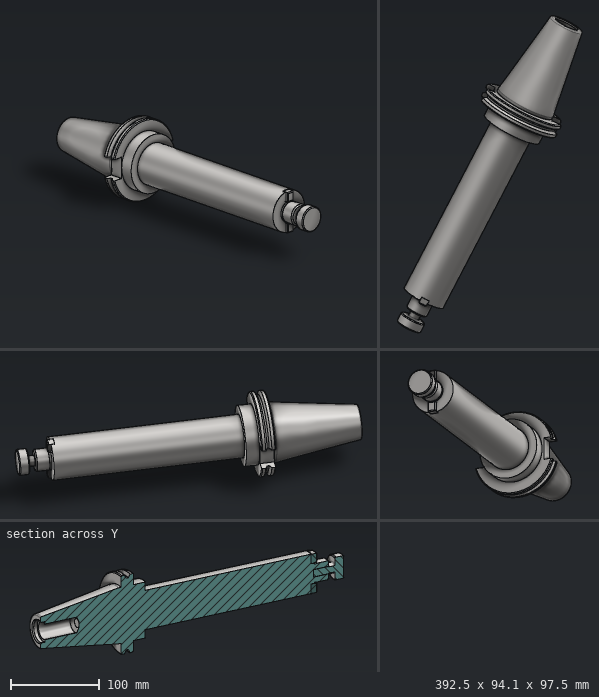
import cadquery as cq
import math


GAUGE_D = 70.0
TAPER_L = 101.3
TAPER_RATIO = 7 / 24
TAPER_TIP_D = GAUGE_D - TAPER_L * TAPER_RATIO
TIP_FILLET = 1.5

FLANGE_D = 97.5
FLANGE_X = 104.5
FLANGE_W = 16.5
FLANGE_CHAMFER = 1.0
COLLAR_END_X = 136.2

GROOVE_W = 7.0
GROOVE_FLOOR_W = 2.5
GROOVE_HALF_ANGLE = 30
GROOVE_DEPTH = (GROOVE_W - GROOVE_FLOOR_W) / 2 / math.tan(math.radians(GROOVE_HALF_ANGLE))

SLOT_W = 25.5
SLOT_FLOOR_FRONT = GAUGE_D / 2
SLOT_FLOOR_BACK = 37.3

SHANK_D = 50.0
SHANK_END_X = 355.0
SPIGOT_D = 25.5
SPIGOT_END_X = 373.5
SPIGOT_CHAMFER = 1.5
UNDERCUT_D = 24.7
UNDERCUT_W = 2.7

MOUTH_D = 28.3
COUNTERBORE_D = 26.5
COUNTERBORE_DEPTH = 6.3
MOUTH_HALF_ANGLE = 30
BORE_D = 21.0
BORE_DEPTH = 47
BORE_FLOOR_D = 10.5
BORE_CONE_HALF_ANGLE = 60

KEY_W = 9.5
KEY_L = 8
KEY_PROTRUSION = 3.5
KEY_CHAMFER = 1.0
KEY_X = SHANK_END_X + KEY_PROTRUSION - KEY_L
KEY_BOTTOM_Z = SPIGOT_D / 2
KEY_TOP_Z = 24.5

SCREW_HEAD_D = 30.0
SCREW_HEAD_L = 11.8
SCREW_HEAD_CHAMFER = 1.0
SCREW_NECK_FILLET = 0.8
SCREW_SHANK_D = 12.5
SCREW_INSERTION = 19.5
SCREW_END_X = 392.5
SCREW_TIP_X = SPIGOT_END_X - SCREW_INSERTION
SCREW_HEAD_X = SCREW_END_X - SCREW_HEAD_L


def cylinder(start_x, end_x, diameter):
    """Cylinder on the X axis."""
    return cq.Workplane("YZ", origin=(start_x, 0, 0)).circle(diameter / 2).extrude(end_x - start_x)


def turned(points):
    """Solid of revolution about the X axis from (x, radius) points."""
    return cq.Workplane("XY").polyline(points).close().revolve(360, (0, 0, 0), (1, 0, 0))


def make_taper():
    taper = turned([(0, 0), (0, TAPER_TIP_D / 2), (TAPER_L, GAUGE_D / 2), (TAPER_L, 0)])
    return taper.faces("<X").edges().fillet(TIP_FILLET)


def make_groove_ring():
    middle_x = FLANGE_X + FLANGE_W / 2
    rim_r = FLANGE_D / 2
    floor_r = rim_r - GROOVE_DEPTH
    return turned([
        (middle_x - GROOVE_W / 2, rim_r),
        (middle_x - GROOVE_FLOOR_W / 2, floor_r),
        (middle_x + GROOVE_FLOOR_W / 2, floor_r),
        (middle_x + GROOVE_W / 2, rim_r),
    ])


def make_flange():
    flange = cylinder(FLANGE_X, FLANGE_X + FLANGE_W, FLANGE_D).edges().chamfer(FLANGE_CHAMFER)
    flange = flange.cut(make_groove_ring())
    for side, floor in ((-1, SLOT_FLOOR_FRONT), (1, SLOT_FLOOR_BACK)):
        slot = cq.Workplane("XY").box(FLANGE_W, FLANGE_D, SLOT_W)
        slot_y = side * (floor + FLANGE_D / 2)
        flange = flange.cut(slot.translate((FLANGE_X + FLANGE_W / 2, slot_y, 0)))
    return flange


def make_spigot():
    spigot = cylinder(SHANK_END_X, SPIGOT_END_X, SPIGOT_D).faces(">X").chamfer(SPIGOT_CHAMFER)
    undercut_end_x = SHANK_END_X + UNDERCUT_W
    undercut_core = cylinder(SHANK_END_X, undercut_end_x, UNDERCUT_D)
    undercut = cylinder(SHANK_END_X, undercut_end_x, SPIGOT_D).cut(undercut_core)
    return spigot.cut(undercut)


def make_bore():
    mouth_depth = (MOUTH_D - COUNTERBORE_D) / 2 / math.tan(math.radians(MOUTH_HALF_ANGLE))
    cone_l = (BORE_D - BORE_FLOOR_D) / 2 / math.tan(math.radians(BORE_CONE_HALF_ANGLE))
    return turned([
        (0, 0),
        (0, MOUTH_D / 2),
        (mouth_depth, COUNTERBORE_D / 2),
        (COUNTERBORE_DEPTH, COUNTERBORE_D / 2),
        (COUNTERBORE_DEPTH, BORE_D / 2),
        (BORE_DEPTH, BORE_D / 2),
        (BORE_DEPTH + cone_l, BORE_FLOOR_D / 2),
        (BORE_DEPTH + cone_l, 0),
    ])


def make_key(side):
    """Drive key set into the shank end at the top (side = 1) or the bottom (side = -1)."""
    middle_z = side * (KEY_TOP_Z + KEY_BOTTOM_Z) / 2
    key = cq.Workplane("XY").box(KEY_L, KEY_W, KEY_TOP_Z - KEY_BOTTOM_Z)
    key = key.faces(">X").chamfer(KEY_CHAMFER)
    return key.translate((KEY_X + KEY_L / 2, 0, middle_z))


def make_key_slot(side):
    """Slot for a drive key, open at the shank end and outward."""
    slot_depth = SHANK_END_X - KEY_X
    slot_h = SHANK_D / 2 - KEY_BOTTOM_Z
    slot = cq.Workplane("XY").box(slot_depth, KEY_W, slot_h)
    return slot.translate((KEY_X + slot_depth / 2, 0, side * (KEY_BOTTOM_Z + slot_h / 2)))


def make_arbor():
    arbor = make_taper().union(cylinder(TAPER_L, COLLAR_END_X, GAUGE_D))
    arbor = arbor.union(make_flange())
    arbor = arbor.union(cylinder(COLLAR_END_X, SHANK_END_X, SHANK_D))
    arbor = arbor.union(make_spigot())
    arbor = arbor.cut(make_bore())
    for side in (1, -1):
        arbor = arbor.cut(make_key_slot(side))
    return arbor.cut(cylinder(SCREW_TIP_X, SPIGOT_END_X, SCREW_SHANK_D))


def make_screw():
    head = cylinder(SCREW_HEAD_X, SCREW_END_X, SCREW_HEAD_D).edges().chamfer(SCREW_HEAD_CHAMFER)
    screw = head.union(cylinder(SCREW_TIP_X, SCREW_HEAD_X, SCREW_SHANK_D))
    shank_circles = screw.edges("%CIRCLE").edges(cq.selectors.RadiusNthSelector(0))
    return shank_circles.edges(">X").fillet(SCREW_NECK_FILLET)


arbor = make_arbor()
keys = [make_key(side) for side in (1, -1)]
screw = make_screw()

result = cq.Compound.makeCompound([arbor.val(), *[key.val() for key in keys], screw.val()])